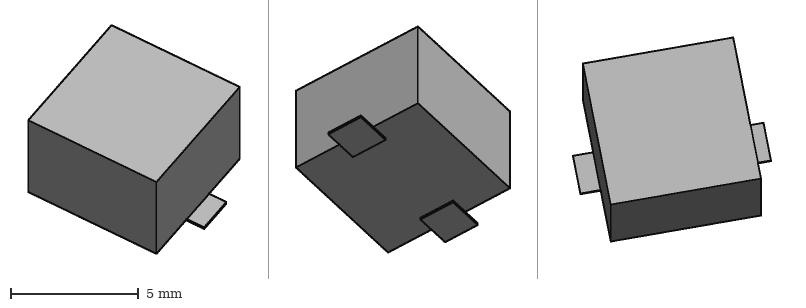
import cadquery as cq

overall_length = 7.6
overall_height = 4.3
housing_side = 6.0
lead_length = 1.6
lead_width = 1.6
lead_thickness = 0.1

housing_height = overall_height - lead_thickness
lead_center_x = (overall_length - lead_length) / 2


def make_housing():
    """Plain square block resting on top of the leads."""
    return (
        cq.Workplane("XY")
        .workplane(offset=lead_thickness)
        .rect(housing_side, housing_side)
        .extrude(housing_height)
    )


def make_lead(side):
    """Flat lead under the housing edge; side is -1 or +1 along X."""
    return (
        cq.Workplane("XY")
        .center(side * lead_center_x, 0)
        .rect(lead_length, lead_width)
        .extrude(lead_thickness)
    )


housing = make_housing()
leads = [make_lead(side) for side in (-1, 1)]

result = cq.Compound.makeCompound([housing.val(), *[lead.val() for lead in leads]])